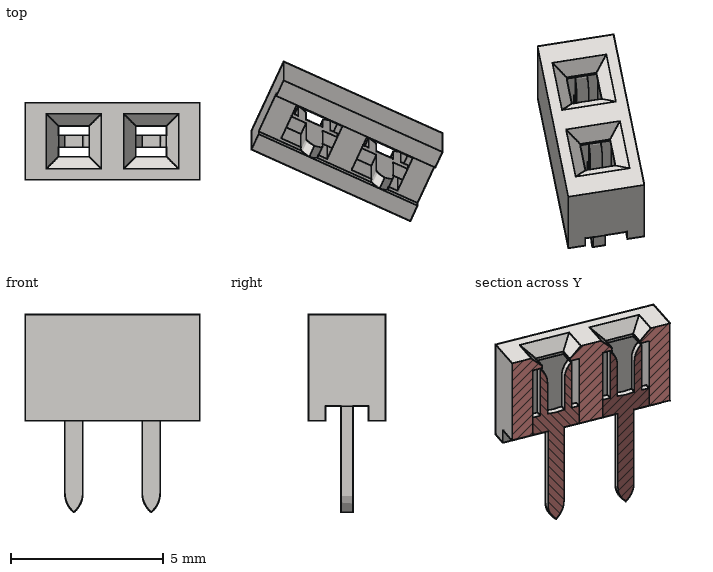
import cadquery as cq
import math


pitch = 2.54
contact_count = 2
end_margin = 0.66
housing_length = contact_count * pitch + end_margin
housing_width = 2.54
housing_height = 3.5
groove_width = 1.4
groove_depth = 0.49

mouth_size = 1.8
throat_size = 1.0
funnel_depth = (mouth_size - throat_size) / 2
throat_length = 0.1
cavity_length = 1.66
cavity_width = 1.2
cavity_top = housing_height - funnel_depth - throat_length

contact_thickness = 0.4
pin_width = 0.6
pin_length = 3.0
pin_tip_length = 0.635
base_height = 0.7
arm_inner = 0.3
arm_outer = 0.58
slot_floor_slope = 5.0
lead_in_radius = 0.8
lead_in_end_depth = 0.62
lead_in_end = cavity_top - lead_in_end_depth

contact_positions = [(index - (contact_count - 1) / 2) * pitch for index in range(contact_count)]


def make_opening(x):
    """Funnel, throat and cavity cut from the top face down into the groove."""
    funnel = (
        cq.Workplane("XY", origin=(x, 0, housing_height))
        .rect(mouth_size, mouth_size)
        .workplane(offset=-funnel_depth)
        .rect(throat_size, throat_size)
        .loft(ruled=True)
    )
    throat = (
        cq.Workplane("XY", origin=(x, 0, cavity_top))
        .rect(throat_size, throat_size)
        .extrude(throat_length)
    )
    cavity = (
        cq.Workplane("XY", origin=(x, 0, groove_depth))
        .rect(cavity_length, cavity_width)
        .extrude(cavity_top - groove_depth)
    )
    return funnel, throat, cavity


def make_housing():
    """Rectangular block with a groove along the underside and one opening per contact."""
    block = cq.Workplane("XY").box(
        housing_length, housing_width, housing_height, centered=(True, True, False)
    )
    groove = cq.Workplane("XY").box(
        housing_length, groove_width, groove_depth, centered=(True, True, False)
    )
    block = block.cut(groove)
    for x in contact_positions:
        for cutter in make_opening(x):
            block = block.cut(cutter)
    return block


def lead_in_point(x):
    """Point on the rounded inner face of the right-hand arm at distance x from the middle."""
    across = arm_inner + lead_in_radius - x
    return x, lead_in_end + math.sqrt(lead_in_radius**2 - across**2)


def pin_tip_point(x):
    """Point on the right-hand arc of the pin tip, which runs tangent from the pin side."""
    half_width = pin_width / 2
    radius = (pin_tip_length**2 + half_width**2) / (2 * half_width)
    across = x + radius - half_width
    return x, -pin_length + pin_tip_length - math.sqrt(radius**2 - across**2)


def mirrored(point):
    """The same point on the other side of the contact's centre line."""
    return -point[0], point[1]


def make_contact(x):
    """Flat contact: fork with rounded lead-ins, base filling the cavity length, pointed pin."""
    base_side = cavity_length / 2
    pin_side = pin_width / 2
    base_bottom = groove_depth
    base_top = base_bottom + base_height
    slot_floor_drop = arm_inner * math.tan(math.radians(slot_floor_slope))

    arm_middle = lead_in_point((arm_inner + arm_outer) / 2)
    arm_end = lead_in_point(arm_outer)
    lead_in_start = (arm_inner, lead_in_end)
    tip_start = (pin_side, -pin_length + pin_tip_length)
    tip_middle = pin_tip_point(pin_side / 2)

    profile = (
        cq.Workplane("XZ", origin=(x, contact_thickness / 2, 0))
        .moveTo(0, -pin_length)
        .threePointArc(tip_middle, tip_start)
        .lineTo(pin_side, base_bottom)
        .lineTo(base_side, base_bottom)
        .lineTo(base_side, base_top)
        .lineTo(arm_outer, base_top)
        .lineTo(*arm_end)
        .threePointArc(arm_middle, lead_in_start)
        .lineTo(arm_inner, base_top)
        .lineTo(0, base_top - slot_floor_drop)
        .lineTo(-arm_inner, base_top)
        .lineTo(*mirrored(lead_in_start))
        .threePointArc(mirrored(arm_middle), mirrored(arm_end))
        .lineTo(-arm_outer, base_top)
        .lineTo(-base_side, base_top)
        .lineTo(-base_side, base_bottom)
        .lineTo(-pin_side, base_bottom)
        .lineTo(*mirrored(tip_start))
        .threePointArc(mirrored(tip_middle), (0, -pin_length))
        .close()
    )
    return profile.extrude(contact_thickness)


housing = make_housing()
contacts = [make_contact(x) for x in contact_positions]

result = cq.Compound.makeCompound([housing.val(), *[contact.val() for contact in contacts]])